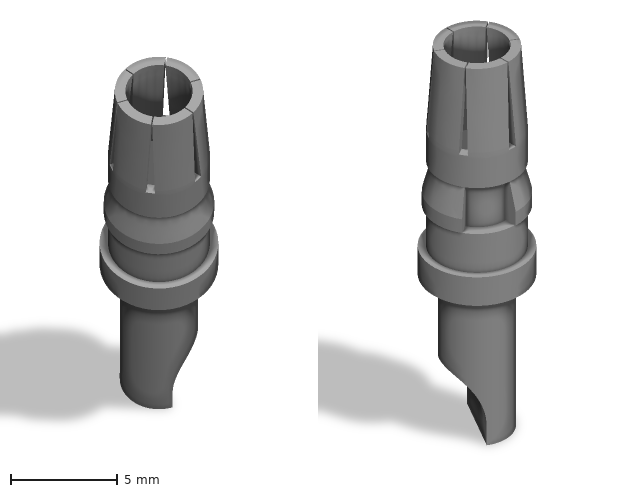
import cadquery as cq
import math

TOTAL_HEIGHT = 21.35
FLANGE_BOTTOM = 8.5
FLANGE_TOP = 10.1
BARREL_TOP = 12.28
CLIP_BOTTOM = 12.4
CLIP_CONE_BOTTOM = 13.17
COLLAR_BOTTOM = 14.85
BORE_FLOOR = 15.37
BEND_BOTTOM = 16.52
BEND_TOP = 16.85
SLOT_BOTTOM = 16.65

SHANK_RADIUS = 3.7 / 2
FLANGE_RADIUS = 5.6 / 2
BARREL_RADIUS = 4.8 / 2
NECK_RADIUS = 3.6 / 2
TIP_RADIUS = 4.16 / 2

BORE_TIP_RADIUS = 3.15 / 2
BORE_BASE_RADIUS = 3.8 / 2

SLOT_COUNT = 6
SLOT_FIRST_ANGLE = 90.0
SLOT_TIP_WIDTH = 0.06
SLOT_BASE_WIDTH = 0.45

SCOOP_CENTER_HEIGHT = 1.02
SCOOP_RADIUS = 3.35

CLIP_INNER_RADIUS = 3.7 / 2
CLIP_BASE_RADIUS = 5.2 / 2
CLIP_TOP_RADIUS = 4.31 / 2
CLIP_GAP_ANGLE = 60.0


def make_contact_blank():
    """Solid of revolution: shank, flange, barrel, neck, collar and tapered socket."""
    tangent_length = (BEND_TOP - BEND_BOTTOM) / 2
    taper_angle = math.atan2(BARREL_RADIUS - TIP_RADIUS, TOTAL_HEIGHT - BEND_BOTTOM - tangent_length)
    bend_radius = (BEND_TOP - BEND_BOTTOM) / math.sin(taper_angle)
    bend_end_radius = BARREL_RADIUS - bend_radius * (1 - math.cos(taper_angle))
    return (
        cq.Workplane("XZ")
        .moveTo(0, 0)
        .lineTo(SHANK_RADIUS, 0)
        .lineTo(SHANK_RADIUS, FLANGE_BOTTOM)
        .lineTo(FLANGE_RADIUS, FLANGE_BOTTOM)
        .lineTo(FLANGE_RADIUS, FLANGE_TOP)
        .lineTo(BARREL_RADIUS, FLANGE_TOP)
        .lineTo(BARREL_RADIUS, BARREL_TOP)
        .lineTo(NECK_RADIUS, BARREL_TOP)
        .lineTo(NECK_RADIUS, COLLAR_BOTTOM)
        .lineTo(BARREL_RADIUS, COLLAR_BOTTOM)
        .lineTo(BARREL_RADIUS, BEND_BOTTOM)
        .tangentArcPoint((bend_end_radius, BEND_TOP), relative=False)
        .lineTo(TIP_RADIUS, TOTAL_HEIGHT)
        .lineTo(0, TOTAL_HEIGHT)
        .close()
        .revolve(360, (0, 0), (0, 1))
    )


def make_bore():
    """Blind socket bore: straight below the bend, tapered through the fingers."""
    return (
        cq.Workplane("XZ")
        .moveTo(0, BORE_FLOOR)
        .lineTo(BORE_BASE_RADIUS, BORE_FLOOR)
        .lineTo(BORE_BASE_RADIUS, BEND_BOTTOM)
        .lineTo(BORE_TIP_RADIUS, TOTAL_HEIGHT)
        .lineTo(0, TOTAL_HEIGHT)
        .close()
        .revolve(360, (0, 0), (0, 1))
    )


def make_slot(angle):
    """Radial wedge from the axis outward, wide at its floor and narrow at the tip."""
    return (
        cq.Workplane("YZ")
        .moveTo(-SLOT_BASE_WIDTH / 2, SLOT_BOTTOM)
        .lineTo(SLOT_BASE_WIDTH / 2, SLOT_BOTTOM)
        .lineTo(SLOT_TIP_WIDTH / 2, TOTAL_HEIGHT)
        .lineTo(-SLOT_TIP_WIDTH / 2, TOTAL_HEIGHT)
        .close()
        .extrude(FLANGE_RADIUS)
        .rotate((0, 0, 0), (0, 0, 1), angle)
    )


def make_scoop():
    """Half-width cut along the cup end that runs out through an arc at its top."""
    exit_y = SHANK_RADIUS
    exit_height = SCOOP_CENTER_HEIGHT + math.sqrt(SCOOP_RADIUS**2 - (SCOOP_RADIUS - exit_y) ** 2)
    return (
        cq.Workplane("YZ")
        .moveTo(0, 0)
        .lineTo(0, SCOOP_CENTER_HEIGHT)
        .tangentArcPoint((exit_y, exit_height), relative=False)
        .lineTo(exit_y, 0)
        .close()
        .extrude(SHANK_RADIUS, both=True)
    )


def make_contact():
    contact = make_contact_blank().cut(make_bore()).cut(make_scoop())
    for index in range(SLOT_COUNT):
        contact = contact.cut(make_slot(SLOT_FIRST_ANGLE + index * 360 / SLOT_COUNT))
    return contact.solids()


def make_clip():
    """Split ring with a conical upper part, revolved around everything but the gap."""
    ring_angle = 360 - CLIP_GAP_ANGLE
    return (
        cq.Workplane("XZ")
        .moveTo(CLIP_INNER_RADIUS, CLIP_BOTTOM)
        .lineTo(CLIP_BASE_RADIUS, CLIP_BOTTOM)
        .lineTo(CLIP_BASE_RADIUS, CLIP_CONE_BOTTOM)
        .lineTo(CLIP_TOP_RADIUS, COLLAR_BOTTOM)
        .lineTo(CLIP_INNER_RADIUS, COLLAR_BOTTOM)
        .close()
        .revolve(ring_angle, (0, 0), (0, 1))
        .rotate((0, 0, 0), (0, 0, 1), -ring_angle / 2)
    )


contact = make_contact()
clip = make_clip()

result = cq.Compound.makeCompound([contact.val(), clip.val()])